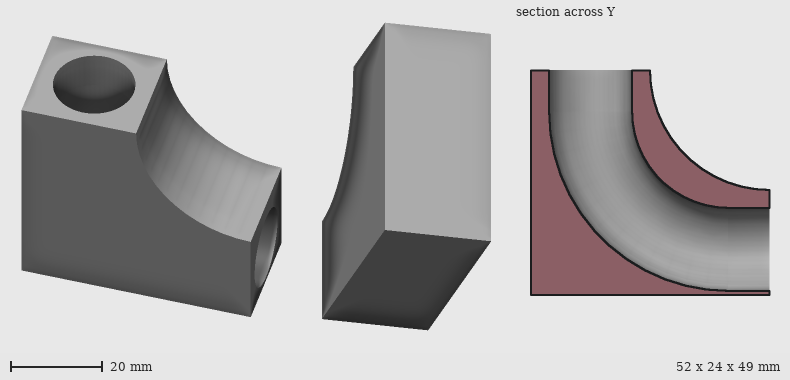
import cadquery as cq

length = 52.0
width = 24.0
height = 49.0

scoop_radius = length / 2

bore_diameter = 18.0
bore_radius = bore_diameter / 2
straight_length = bore_radius
inlet_x = (length - scoop_radius) / 2
bore_y = width / 2
bend_radius = length - straight_length - inlet_x
bend_start_z = height - straight_length
outlet_z = bend_start_z - bend_radius


def make_block():
    return cq.Workplane("XY").box(length, width, height, centered=False)


def make_scoop():
    """Cylinder along Y, centred on the upper +X edge."""
    return (
        cq.Workplane("XZ", origin=(length, 0, height))
        .circle(scoop_radius)
        .extrude(-width)
    )


def make_elbow():
    """Round bore running down from the top, then turning 90 degrees out of the +X face."""
    path = (
        cq.Workplane("XZ", origin=(0, bore_y, 0))
        .moveTo(inlet_x, height)
        .lineTo(inlet_x, bend_start_z)
        .radiusArc((inlet_x + bend_radius, outlet_z), -bend_radius)
        .lineTo(length, outlet_z)
    )
    return cq.Workplane("XY", origin=(inlet_x, bore_y, height)).circle(bore_radius).sweep(path)


result = make_block().cut(make_scoop()).cut(make_elbow())